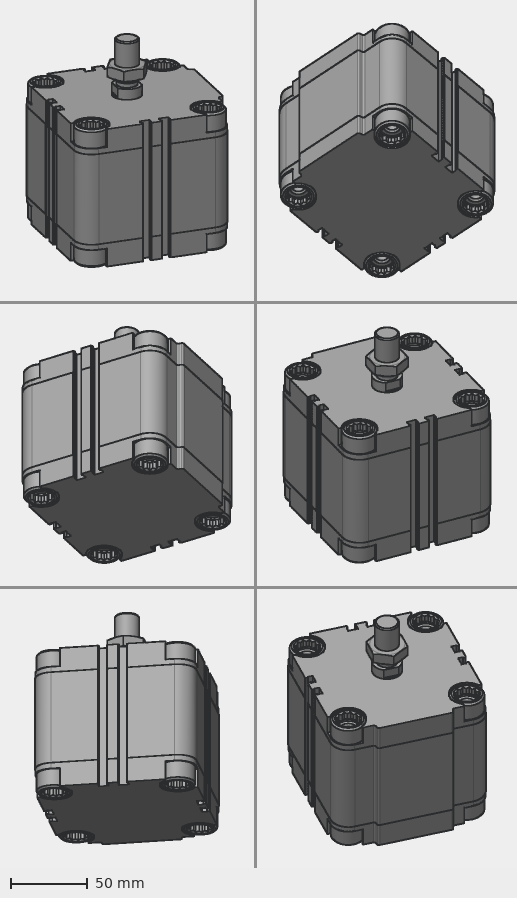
import cadquery as cq
import math


CAP_HALF_SIDE = 53.3
HOUSING_HEIGHT = 96.4
CAP_HEIGHT = 16.6
BARREL_STEP = 0.2
SCREW_SPACING = 82.0
SCREW_OFFSET = SCREW_SPACING / 2
BARREL_HALF_SIDE = CAP_HALF_SIDE + BARREL_STEP

LUG_HEIGHT = 4.0
LUG_BASE_HALF_WIDTH = 26.9
LUG_TOP_HALF_WIDTH = 26.1
LUG_FILLET = 1.4

SLOT_OFFSET = 6.7
SLOT_MOUTH_WIDTH = 5.2
SLOT_INNER_WIDTH = 6.7
SLOT_DEPTH = 5.3
SLOT_LIP = 2.0
SLOT_CHAMFER = 0.5

HEAD_DIAMETER = 23.0
HEAD_HEIGHT = 12.6
HEAD_CHAMFER = 1.4
HEAD_CLEARANCE = 0.34
POCKET_REACH = 6.0

SOCKET_POINT_DIAMETER = 16.0
SOCKET_RIM_DIAMETER = 17.4
SOCKET_RIM_CHAMFER = 1.5
SOCKET_DEPTH = 6.4
SOCKET_FLOOR_DEPTH = 8.3
RELIEF_DIAMETER = 16.5
SCREW_HOLE_DIAMETER = 8.5
COUNTERSINK_DIAMETER = 11.2

ROD_DIAMETER = 20.0
ROD_FLATS = 17.0
ROD_COLLAR = 1.0
ROD_SHOULDER_Z = 103.8
NECK_DIAMETER = 14.1
NECK_END_Z = 106.6
THREAD_DIAMETER = 16.0
THREAD_CHAMFER = (THREAD_DIAMETER - NECK_DIAMETER) / 2
ROD_END_Z = 136.0

NUT_FLATS = 24.0
NUT_BOTTOM_Z = 110.0
NUT_HEIGHT = 8.0
NUT_FACE_DIAMETER = 23.0
NUT_CHAMFER_ANGLE = 15.0

EXTRA = 1.4


def cylinder(diameter, bottom, top):
    """Cylinder on the Z axis between two heights."""
    return cq.Workplane("XY").workplane(offset=bottom).circle(diameter / 2).extrude(top - bottom)


def cone(bottom_diameter, top_diameter, bottom, top):
    """Truncated cone on the Z axis between two heights."""
    solid = cq.Solid.makeCone(
        bottom_diameter / 2, top_diameter / 2, top - bottom, cq.Vector(0, 0, bottom)
    )
    return cq.Workplane(obj=solid)


def hexagon(across_flats, bottom, top, turn):
    """Hexagonal prism on the Z axis, turned from having two corners on the X axis."""
    prism = cq.Workplane("XY").workplane(offset=bottom)
    prism = prism.polygon(6, across_flats / math.cos(math.pi / 6)).extrude(top - bottom)
    return prism.rotate((0, 0, 0), (0, 0, 1), turn)


def at_corners(shape):
    """Copies of a shape made at the (+X, +Y) screw axis, one for each screw axis."""
    return [shape.rotate((0, 0, 0), (0, 0, 1), 90 * corner) for corner in range(4)]


def both_ends(shape):
    """The shape at the top end and its mirror image at the bottom end of the housing."""
    return [shape, shape.mirror("XY", (0, 0, HOUSING_HEIGHT / 2))]


def housing_section(bottom, top, half_side):
    """Square stretch of the housing between two heights, with its rear lug."""
    height = top - bottom
    lug_top = half_side + LUG_HEIGHT
    block = (
        cq.Workplane("XY").workplane(offset=bottom)
        .rect(2 * half_side, 2 * half_side)
        .extrude(height)
        .edges("|Z").fillet(half_side - SCREW_OFFSET)
    )
    lug = (
        cq.Workplane("XY").workplane(offset=bottom)
        .moveTo(-LUG_BASE_HALF_WIDTH, half_side - EXTRA)
        .lineTo(-LUG_BASE_HALF_WIDTH, half_side)
        .lineTo(-LUG_TOP_HALF_WIDTH, lug_top)
        .lineTo(LUG_TOP_HALF_WIDTH, lug_top)
        .lineTo(LUG_BASE_HALF_WIDTH, half_side)
        .lineTo(LUG_BASE_HALF_WIDTH, half_side - EXTRA)
        .close().extrude(height)
    )
    around_lug = cq.selectors.BoxSelector(
        (-LUG_BASE_HALF_WIDTH - EXTRA, half_side - EXTRA, bottom - EXTRA),
        (LUG_BASE_HALF_WIDTH + EXTRA, lug_top + EXTRA, top + EXTRA),
    )
    return block.union(lug).edges("|Z").edges(around_lug).fillet(LUG_FILLET)


def sensor_slot(side):
    """Full-height T-slot cutter in the -Y side; side is +1 or -1 for the half it lies in."""
    inner_lip = SLOT_OFFSET - SLOT_MOUTH_WIDTH / 2
    outer_lip = SLOT_OFFSET + SLOT_MOUTH_WIDTH / 2
    inner_wall = SLOT_OFFSET - SLOT_INNER_WIDTH / 2
    outer_wall = SLOT_OFFSET + SLOT_INNER_WIDTH / 2
    outside = -BARREL_HALF_SIDE - EXTRA
    lip_back = -CAP_HALF_SIDE + SLOT_LIP
    floor = -CAP_HALF_SIDE + SLOT_DEPTH
    points = [
        (inner_lip - SLOT_CHAMFER, outside),
        (inner_lip - SLOT_CHAMFER, -CAP_HALF_SIDE),
        (inner_lip, -CAP_HALF_SIDE + SLOT_CHAMFER),
        (inner_lip, lip_back),
        (inner_wall, lip_back),
        (inner_wall, floor),
        (outer_wall, floor),
        (outer_wall, lip_back),
        (outer_lip, lip_back),
        (outer_lip, -CAP_HALF_SIDE + SLOT_CHAMFER),
        (outer_lip + SLOT_CHAMFER, -CAP_HALF_SIDE),
        (outer_lip + SLOT_CHAMFER, outside),
    ]
    outline = [(side * x, y) for x, y in points]
    return cq.Workplane("XY").polyline(outline).close().extrude(HOUSING_HEIGHT)


def corner_pocket():
    """Cutter for a top corner that opens to +X and +Y and leaves the screw head on the Z axis."""
    size = CAP_HALF_SIDE - SCREW_OFFSET + POCKET_REACH + EXTRA
    ledge = HOUSING_HEIGHT - HEAD_HEIGHT
    block = (
        cq.Workplane("XY").workplane(offset=ledge)
        .center(-POCKET_REACH, -POCKET_REACH)
        .rect(size, size, centered=False)
        .extrude(HEAD_HEIGHT)
    )
    bore = cylinder(HEAD_DIAMETER + 2 * HEAD_CLEARANCE, ledge, HOUSING_HEIGHT)
    return block.union(bore).cut(cylinder(HEAD_DIAMETER, ledge, HOUSING_HEIGHT))


def head_chamfer():
    """Ring that bevels the top edge of a screw head."""
    bottom = HOUSING_HEIGHT - HEAD_CHAMFER
    ring = cylinder(HEAD_DIAMETER, bottom, HOUSING_HEIGHT)
    return ring.cut(cone(HEAD_DIAMETER, HEAD_DIAMETER - 2 * HEAD_CHAMFER, bottom, HOUSING_HEIGHT))


def socket():
    """Cutter for a twelve-point socket with its rim bevel, relief and countersink."""
    rim = HOUSING_HEIGHT
    relief_top = rim - SOCKET_DEPTH
    floor = rim - SOCKET_FLOOR_DEPTH
    countersink_depth = (COUNTERSINK_DIAMETER - SCREW_HOLE_DIAMETER) / 2
    across_flats = SOCKET_POINT_DIAMETER * math.cos(math.pi / 6)
    points = hexagon(across_flats, relief_top, rim, 0).union(hexagon(across_flats, relief_top, rim, 30))
    bevel = cone(
        SOCKET_RIM_DIAMETER - 2 * SOCKET_RIM_CHAMFER, SOCKET_RIM_DIAMETER, rim - SOCKET_RIM_CHAMFER, rim
    )
    relief = cylinder(RELIEF_DIAMETER, floor, relief_top)
    countersink = cone(SCREW_HOLE_DIAMETER, COUNTERSINK_DIAMETER, floor - countersink_depth, floor)
    return points.union(bevel).union(relief).union(countersink)


def make_housing():
    """Barrel between two end caps, with slots, screw heads and the rod bore."""
    barrel_top = HOUSING_HEIGHT - CAP_HEIGHT
    body = housing_section(CAP_HEIGHT, barrel_top, BARREL_HALF_SIDE)
    body = body.union(housing_section(0, CAP_HEIGHT, CAP_HALF_SIDE))
    body = body.union(housing_section(barrel_top, HOUSING_HEIGHT, CAP_HALF_SIDE))

    for side_angle in (-90, 0, 90):
        for side in (-1, 1):
            body = body.cut(sensor_slot(side).rotate((0, 0, 0), (0, 0, 1), side_angle))

    for cutter in (corner_pocket(), head_chamfer(), socket()):
        placed = cutter.translate((SCREW_OFFSET, SCREW_OFFSET, 0))
        for end_cutter in both_ends(placed):
            for corner_cutter in at_corners(end_cutter):
                body = body.cut(corner_cutter)

    screw_hole = cylinder(SCREW_HOLE_DIAMETER, 0, HOUSING_HEIGHT)
    for hole in at_corners(screw_hole.translate((SCREW_OFFSET, SCREW_OFFSET, 0))):
        body = body.cut(hole)

    return body.cut(cylinder(ROD_DIAMETER, barrel_top, HOUSING_HEIGHT))


def make_rod():
    """Rod that starts inside the top cap, with wrench flats, a neck and a threaded end."""
    start = HOUSING_HEIGHT - CAP_HEIGHT
    thread_start = NECK_END_Z + THREAD_CHAMFER
    profile = [
        (0, start),
        (ROD_DIAMETER / 2, start),
        (ROD_DIAMETER / 2, ROD_SHOULDER_Z),
        (NECK_DIAMETER / 2, ROD_SHOULDER_Z),
        (NECK_DIAMETER / 2, NECK_END_Z),
        (THREAD_DIAMETER / 2, thread_start),
        (THREAD_DIAMETER / 2, ROD_END_Z - THREAD_CHAMFER),
        (NECK_DIAMETER / 2, ROD_END_Z),
        (0, ROD_END_Z),
    ]
    body = cq.Workplane("XZ").polyline(profile).close().revolve(360, (0, 0), (0, 1))

    flats_bottom = HOUSING_HEIGHT + ROD_COLLAR
    flats_height = ROD_SHOULDER_Z - flats_bottom
    for side in (-1, 1):
        flat_cutter = cq.Workplane("XY").box(
            ROD_DIAMETER, ROD_DIAMETER, flats_height, centered=(True, True, False)
        )
        body = body.cut(flat_cutter.translate((0, side * (ROD_FLATS + ROD_DIAMETER) / 2, flats_bottom)))
    return body


def make_nut():
    """Hexagonal nut, bevelled at both faces, that fits the rod thread."""
    top = NUT_BOTTOM_Z + NUT_HEIGHT
    middle = NUT_BOTTOM_Z + NUT_HEIGHT / 2
    flare = NUT_HEIGHT / math.tan(math.radians(NUT_CHAMFER_ANGLE))
    middle_diameter = NUT_FACE_DIAMETER + flare
    bevels = cone(NUT_FACE_DIAMETER, middle_diameter, NUT_BOTTOM_Z, middle).union(
        cone(middle_diameter, NUT_FACE_DIAMETER, middle, top)
    )
    body = hexagon(NUT_FLATS, NUT_BOTTOM_Z, top, 30).intersect(bevels)
    return body.cut(cylinder(THREAD_DIAMETER, NUT_BOTTOM_Z, top))


housing = make_housing()
rod = make_rod()
nut = make_nut()

result = cq.Compound.makeCompound([housing.val(), rod.val(), nut.val()])